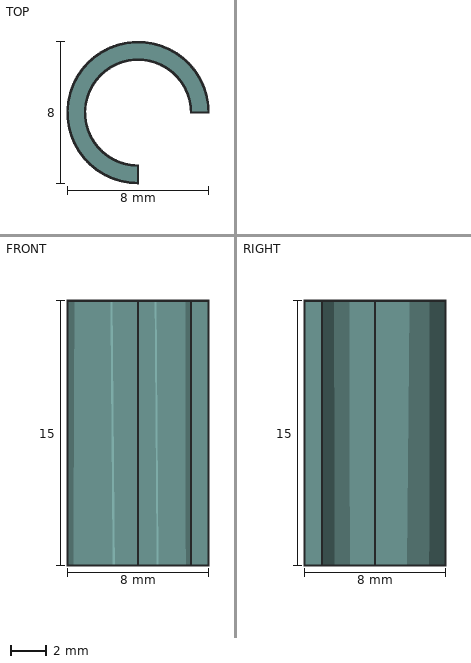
import cadquery as cq

length = 15
outer_diameter = 8.0
wall = 1.0
gap_angle = 90

outer_radius = outer_diameter / 2
inner_radius = outer_radius - wall

wall_section = (
    cq.Workplane("XZ")
    .moveTo(inner_radius, 0)
    .lineTo(outer_radius, 0)
    .lineTo(outer_radius, length)
    .lineTo(inner_radius, length)
    .close()
)

result = wall_section.revolve(360 - gap_angle, (0, 0, 0), (0, 1, 0))